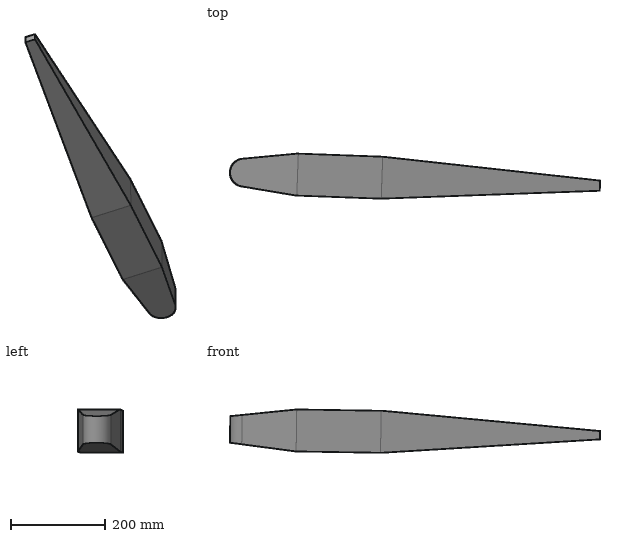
import cadquery as cq
import math

overall_length = 788.0
shoulder_x = 143.0
tail_start_x = 322.0

body_size = 90.0
nose_radius = 30.0
nose_height = 57.0
tip_width = 22.0
tip_height = 18.0

yaw = -2.1
pitch = 0.9

half_body = body_size / 2

yaw_sine = abs(math.sin(math.radians(yaw)))
yaw_cosine = math.cos(math.radians(yaw))
pitch_sine = math.sin(math.radians(pitch))
pitch_cosine = math.cos(math.radians(pitch))
corner_reach = tip_width / 2 * yaw_sine + (tip_height + nose_height) / 2 * pitch_sine * yaw_cosine
length = nose_radius + (overall_length - nose_radius - corner_reach) / (yaw_cosine * pitch_cosine)


def make_plan():
    """Plan outline, with the nose arc tangent to the tapered flanks."""
    center_distance = shoulder_x - nose_radius
    center_to_shoulder = math.hypot(center_distance, half_body)
    shoulder_angle = math.atan2(half_body, center_distance)
    taper = shoulder_angle - math.asin(nose_radius / center_to_shoulder)
    tangent_x = nose_radius - nose_radius * math.sin(taper)
    tangent_y = nose_radius * math.cos(taper)
    return (
        cq.Workplane("XY")
        .moveTo(tangent_x, tangent_y)
        .lineTo(shoulder_x, half_body)
        .lineTo(tail_start_x, half_body)
        .lineTo(length, tip_width / 2)
        .lineTo(length, -tip_width / 2)
        .lineTo(tail_start_x, -half_body)
        .lineTo(shoulder_x, -half_body)
        .lineTo(tangent_x, -tangent_y)
        .threePointArc((0, 0), (tangent_x, tangent_y))
        .close()
        .extrude(body_size, both=True)
    )


def make_elevation():
    """Side outline tapering in height toward the nose and the tip."""
    upper = [
        (0, nose_height / 2),
        (shoulder_x, half_body),
        (tail_start_x, half_body),
        (length, tip_height / 2),
    ]
    lower = [(x, -z) for x, z in reversed(upper)]
    return cq.Workplane("XZ").polyline(upper + lower).close().extrude(body_size, both=True)


straight_bar = make_plan().intersect(make_elevation())
pitched_bar = straight_bar.rotate((0, 0, 0), (0, 1, 0), pitch)
result = pitched_bar.rotate((0, 0, 0), (0, 0, 1), yaw)